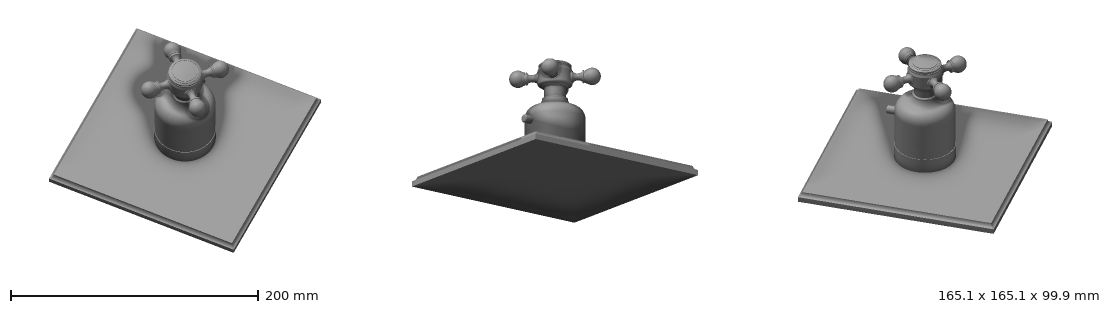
import cadquery as cq
import math

PLATE_SIDE = 165.1
FLANGE_THICKNESS = 4.4
PLATE_THICKNESS = 8.0
COVE_WIDTH = 2.9

BASE_RADIUS = 25.0
BASE_TOP = 20.5
DIAL_RADIUS = 24.6
DIAL_TOP = 30.3
BODY_RADIUS = 24.7
BODY_TOP = 52.2
SHOULDER_RADIUS = 10.0
SHOULDER_ANGLE = math.radians(78)
COLLAR_RADIUS = 10.5
COLLAR_BOTTOM = 67.9
COLLAR_TOP = 69.4
COLLAR_CHAMFER = 0.5
STEM_RADIUS = 8.75

HUB_RADIUS = 14.2
HUB_BOTTOM = 78.1
HUB_FOOT_RADIUS = 10.2
HUB_FOOT_TOP = 79.7
HUB_ROUNDING = 2.2
HUB_BARREL_BOTTOM = HUB_FOOT_TOP + HUB_ROUNDING
HUB_BARREL_TOP = 92.3
CAP_RADIUS = 13.3
CAP_BOTTOM = 94.2
CAP_GROOVE_DEPTH = 0.4
CAP_GROOVE_BOTTOM = 95.2
CAP_GROOVE_TOP = 96.0
CAP_SIDE_TOP = 97.4
CAP_STEP_RADIUS = 11.8
CAP_STEP_BOTTOM = 98.2
CAP_RING_EDGE = 98.5
CAP_RING_TOP = 98.8
DISC_RADIUS = 10.2
DISC_EDGE = 99.0
DISC_GROOVE_WIDTH = 0.7
DISC_GROOVE_FLOOR = 98.4
PART_HEIGHT = 99.86

ARM_COUNT = 4
ARM_FIRST_ANGLE = 45.0
ARM_HEIGHT = 87.1
BALL_RADIUS = 7.05
BALL_CENTRE = 30.3
BALL_START = 26.3
ARM_SEAT_RADIUS = 5.2
ARM_SEAT_END = 14.4
ARM_ROOT_RADIUS = 4.5
ARM_WAIST_RADIUS = 2.9
ARM_WAIST_AT = 18.0
ARM_TIP_RADIUS = 4.4
ARM_COLLAR_START = 22.7
ARM_COLLAR_END = 23.7
ARM_COLLAR_RADIUS = 5.3
ARM_GROOVE_END = 24.5
ARM_GROOVE_RADIUS = 4.6
BALL_SKIRT_RADIUS = 5.1

PIN_RADIUS = 3.4
PIN_HEIGHT = 47.1
PIN_REACH = 32.0
PIN_CHAMFER = 0.7


def point_on_arc(centre, radius, angle):
    return (centre[0] + radius * math.cos(angle), centre[1] + radius * math.sin(angle))


def make_plate():
    cove_depth = PLATE_THICKNESS - FLANGE_THICKNESS
    cove_radius = (COVE_WIDTH**2 + cove_depth**2) / (2 * COVE_WIDTH)
    half_side = PLATE_SIDE / 2
    half_field = half_side - COVE_WIDTH
    cove_centre = (half_field + cove_radius, PLATE_THICKNESS)
    cove_sweep = math.asin(cove_depth / cove_radius)
    cove_cutter = (
        cq.Workplane("XZ")
        .moveTo(half_side, FLANGE_THICKNESS)
        .threePointArc(
            point_on_arc(cove_centre, cove_radius, math.pi + cove_sweep / 2),
            (half_field, PLATE_THICKNESS),
        )
        .lineTo(half_side, PLATE_THICKNESS)
        .close()
        .extrude(half_side, both=True)
    )
    plate = cq.Workplane("XY").rect(PLATE_SIDE, PLATE_SIDE).extrude(PLATE_THICKNESS)
    for quarter in range(4):
        plate = plate.cut(cove_cutter.rotate((0, 0, 0), (0, 0, 1), 90 * quarter))
    return plate


def make_body():
    shoulder_centre = (BODY_RADIUS - SHOULDER_RADIUS, BODY_TOP)
    shoulder_mid = point_on_arc(shoulder_centre, SHOULDER_RADIUS, SHOULDER_ANGLE / 2)
    shoulder_end = point_on_arc(shoulder_centre, SHOULDER_RADIUS, SHOULDER_ANGLE)
    profile = (
        cq.Workplane("XZ")
        .lineTo(BASE_RADIUS, 0)
        .lineTo(BASE_RADIUS, BASE_TOP)
        .lineTo(DIAL_RADIUS, BASE_TOP)
        .lineTo(DIAL_RADIUS, DIAL_TOP)
        .lineTo(BODY_RADIUS, DIAL_TOP)
        .lineTo(BODY_RADIUS, BODY_TOP)
        .threePointArc(shoulder_mid, shoulder_end)
        .tangentArcPoint((COLLAR_RADIUS, COLLAR_BOTTOM), relative=False)
        .lineTo(COLLAR_RADIUS, COLLAR_TOP - COLLAR_CHAMFER)
        .lineTo(COLLAR_RADIUS - COLLAR_CHAMFER, COLLAR_TOP)
        .lineTo(STEM_RADIUS, COLLAR_TOP)
        .lineTo(STEM_RADIUS, HUB_FOOT_TOP)
        .lineTo(0, HUB_FOOT_TOP)
        .close()
    )
    return profile.revolve(360, (0, 0, 0), (0, 1, 0))


def make_hub():
    rounding_centre = (HUB_RADIUS - HUB_ROUNDING, HUB_BARREL_BOTTOM)
    dome_rise = PART_HEIGHT - DISC_EDGE
    dome_radius = (DISC_RADIUS**2 + dome_rise**2) / (2 * dome_rise)
    dome_half_sweep = math.asin(DISC_RADIUS / dome_radius)
    dome_centre = (0, PART_HEIGHT - dome_radius)
    dome_mid = point_on_arc(dome_centre, dome_radius, math.pi / 2 - dome_half_sweep / 2)
    profile = (
        cq.Workplane("XZ")
        .moveTo(0, HUB_BOTTOM)
        .lineTo(HUB_FOOT_RADIUS, HUB_BOTTOM)
        .lineTo(HUB_RADIUS - HUB_ROUNDING, HUB_FOOT_TOP)
        .threePointArc(
            point_on_arc(rounding_centre, HUB_ROUNDING, math.radians(-45)),
            (HUB_RADIUS, HUB_BARREL_BOTTOM),
        )
        .lineTo(HUB_RADIUS, HUB_BARREL_TOP)
        .lineTo(CAP_RADIUS, CAP_BOTTOM)
        .lineTo(CAP_RADIUS, CAP_GROOVE_BOTTOM)
        .lineTo(CAP_RADIUS - CAP_GROOVE_DEPTH, CAP_GROOVE_BOTTOM)
        .lineTo(CAP_RADIUS - CAP_GROOVE_DEPTH, CAP_GROOVE_TOP)
        .lineTo(CAP_RADIUS, CAP_GROOVE_TOP)
        .lineTo(CAP_RADIUS, CAP_SIDE_TOP)
        .lineTo(CAP_STEP_RADIUS, CAP_STEP_BOTTOM)
        .lineTo(CAP_STEP_RADIUS, CAP_RING_EDGE)
        .lineTo(DISC_RADIUS + DISC_GROOVE_WIDTH, CAP_RING_TOP)
        .lineTo(DISC_RADIUS + DISC_GROOVE_WIDTH, DISC_GROOVE_FLOOR)
        .lineTo(DISC_RADIUS, DISC_GROOVE_FLOOR)
        .lineTo(DISC_RADIUS, DISC_EDGE)
        .threePointArc(dome_mid, (0, PART_HEIGHT))
        .close()
    )
    return profile.revolve(360, (0, 0, 0), (0, 1, 0))


def make_arm():
    """Arm along +X: seat on the hub, waist, collar, groove and ball."""
    ball_start_radius = math.sqrt(BALL_RADIUS**2 - (BALL_CENTRE - BALL_START) ** 2)
    profile = (
        cq.Workplane("XY")
        .lineTo(0, ARM_SEAT_RADIUS)
        .lineTo(ARM_SEAT_END, ARM_SEAT_RADIUS)
        .lineTo(ARM_SEAT_END, ARM_ROOT_RADIUS)
        .threePointArc((ARM_WAIST_AT, ARM_WAIST_RADIUS), (ARM_COLLAR_START, ARM_TIP_RADIUS))
        .lineTo(ARM_COLLAR_START, ARM_COLLAR_RADIUS)
        .lineTo(ARM_COLLAR_END, ARM_COLLAR_RADIUS)
        .lineTo(ARM_COLLAR_END, ARM_GROOVE_RADIUS)
        .lineTo(ARM_GROOVE_END, ARM_GROOVE_RADIUS)
        .lineTo(ARM_GROOVE_END, BALL_SKIRT_RADIUS)
        .lineTo(BALL_START, ball_start_radius)
        .threePointArc((BALL_CENTRE, BALL_RADIUS), (BALL_CENTRE + BALL_RADIUS, 0))
        .close()
    )
    return profile.revolve(360, (0, 0, 0), (1, 0, 0)).translate((0, 0, ARM_HEIGHT))


def make_pin():
    return (
        cq.Workplane("XZ")
        .center(0, PIN_HEIGHT)
        .circle(PIN_RADIUS)
        .extrude(-PIN_REACH)
        .faces(">Y")
        .chamfer(PIN_CHAMFER)
    )


result = make_plate().union(make_body()).union(make_hub()).union(make_pin())
arm = make_arm()
for index in range(ARM_COUNT):
    angle = ARM_FIRST_ANGLE + index * 360 / ARM_COUNT
    result = result.union(arm.rotate((0, 0, 0), (0, 0, 1), angle))